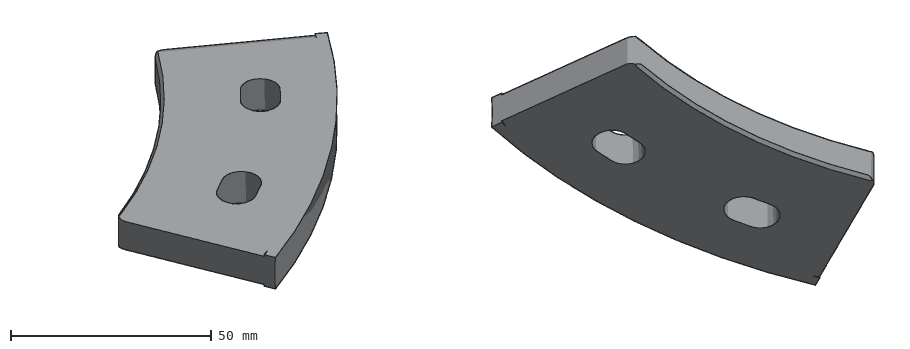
import cadquery as cq
import math

outer_radius = 174.9
inner_radius = 130.8
side_length = 97.6
thickness = 9.5

hollow_depth = 0.2

corner_radius = 3.0

inner_bevel_width = 0.9
inner_bevel_height = 0.9
end_bevel_width = 1.8
end_bevel_height = 0.5
end_bevel_margin = 3.1

slot_circle_radius = 155.7
slot_spacing_angle = 15.5
slot_width = 10.0
slot_length = 14.6

half_thickness = thickness / 2
sector_angle = math.degrees(math.asin(side_length / outer_radius))
mid_angle = sector_angle / 2


def polar(radius, angle):
    """XY point at a radius and an angle in degrees."""
    return (radius * math.cos(math.radians(angle)), radius * math.sin(math.radians(angle)))


def make_blank():
    """Sector with rounded inner corners, centred on the XY plane."""
    sector = (
        cq.Workplane("XY")
        .moveTo(*polar(inner_radius, 0))
        .lineTo(*polar(outer_radius, 0))
        .threePointArc(polar(outer_radius, mid_angle), polar(outer_radius, sector_angle))
        .lineTo(*polar(inner_radius, sector_angle))
        .threePointArc(polar(inner_radius, mid_angle), polar(inner_radius, 0))
        .close()
        .extrude(half_thickness, both=True)
    )
    for angle in (0, sector_angle):
        corner = cq.selectors.NearestToPointSelector((*polar(inner_radius, angle), 0))
        sector = sector.edges("|Z").edges(corner).fillet(corner_radius)
    return sector


def inner_bevel_cutter():
    """Ring that bevels the upper rim of the inner face."""
    return (
        cq.Workplane("XZ")
        .moveTo(inner_radius, half_thickness - inner_bevel_height)
        .lineTo(inner_radius + inner_bevel_width, half_thickness)
        .lineTo(inner_radius, half_thickness)
        .close()
        .revolve(360, (0, 0), (0, 1))
    )


def end_bevel_cutter():
    """Wedge that bevels the upper rim of the end face at Y = 0."""
    start = inner_radius - corner_radius
    stop = outer_radius - end_bevel_margin
    return (
        cq.Workplane("YZ", origin=(start, 0, 0))
        .moveTo(0, half_thickness - end_bevel_height)
        .lineTo(end_bevel_width, half_thickness)
        .lineTo(0, half_thickness)
        .close()
        .extrude(stop - start)
    )


def at_other_end(cutter):
    """Copy of a cutter for the other end of the sector."""
    return cutter.mirror("XZ").rotate((0, 0, 0), (0, 0, 1), sector_angle)


def hollow_cutter():
    """Ring with an arc profile that hollows the outer face over its full height."""
    return (
        cq.Workplane("XZ")
        .moveTo(outer_radius, -half_thickness)
        .threePointArc((outer_radius - hollow_depth, 0), (outer_radius, half_thickness))
        .close()
        .revolve(360, (0, 0), (0, 1))
    )


def slot_cutter(angle):
    """Through slot whose length runs along the ring's tangent."""
    return (
        cq.Workplane("XY")
        .center(slot_circle_radius, 0)
        .slot2D(slot_length, slot_width, 90)
        .extrude(thickness, both=True)
        .rotate((0, 0, 0), (0, 0, 1), angle)
    )


part = make_blank().cut(hollow_cutter())
end_bevel = end_bevel_cutter()
for bevel in (inner_bevel_cutter(), end_bevel, at_other_end(end_bevel)):
    part = part.cut(bevel).cut(bevel.mirror("XY"))
for side in (-1, 1):
    part = part.cut(slot_cutter(mid_angle + side * slot_spacing_angle / 2))

result = part